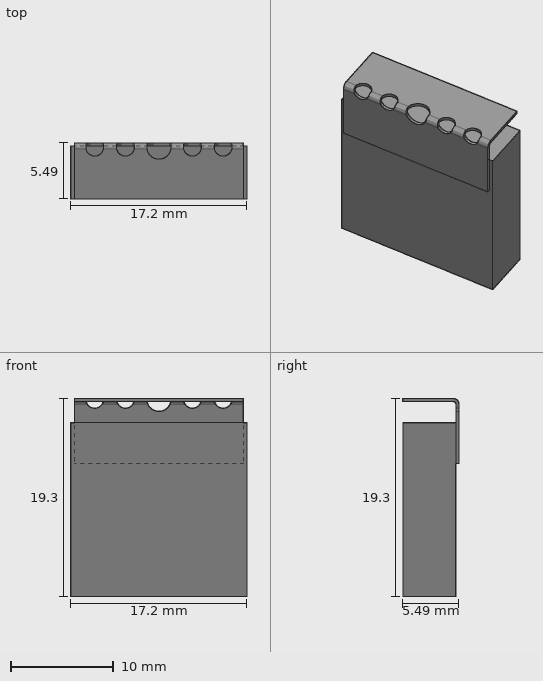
import cadquery as cq
import math

body_width = 17.2
body_depth = 5.17
body_height = 16.95

overall_height = 19.3
bracket_width = 16.45
sheet = 0.3
flange_overhang = 0.02
wall_height = 6.35
bend_inner_radius = 0.29
bend_outer_radius = bend_inner_radius + sheet
bend_middle_radius = bend_inner_radius + sheet / 2
bend_arc_length = bend_middle_radius * math.pi / 2

hole_center_from_flange = 0.17
small_hole_radius = 0.87
large_hole_radius = 1.18
inner_hole_x = 3.26
outer_hole_x = 6.25
holes = [(0, large_hole_radius)]
for hole_x in (inner_hole_x, outer_hole_x):
    holes += [(-hole_x, small_hole_radius), (hole_x, small_hole_radius)]

bend_sections = 7
cut_margin = 0.05

wall_back_y = body_depth + sheet
bend_axis_y = wall_back_y - bend_outer_radius
bend_axis_z = overall_height - bend_outer_radius


def make_body():
    return cq.Workplane("XY").box(body_width, body_depth, body_height, centered=(True, False, False))


def make_bracket():
    """L-shaped sheet with concentric inner and outer bends, extruded along X."""
    wall_bottom_z = overall_height - wall_height
    diagonal = math.sqrt(0.5)
    outer_mid = (bend_axis_y + bend_outer_radius * diagonal, bend_axis_z + bend_outer_radius * diagonal)
    inner_mid = (bend_axis_y + bend_inner_radius * diagonal, bend_axis_z + bend_inner_radius * diagonal)
    return (
        cq.Workplane("YZ")
        .moveTo(-flange_overhang, overall_height)
        .lineTo(bend_axis_y, overall_height)
        .threePointArc(outer_mid, (wall_back_y, bend_axis_z))
        .lineTo(wall_back_y, wall_bottom_z)
        .lineTo(body_depth, wall_bottom_z)
        .lineTo(body_depth, bend_axis_z)
        .threePointArc(inner_mid, (bend_axis_y, overall_height - sheet))
        .lineTo(-flange_overhang, overall_height - sheet)
        .close()
        .extrude(bracket_width / 2, both=True)
    )


def flange_cutter(x, radius):
    """Part of the hole that lies in the flat flange."""
    height = sheet + 2 * cut_margin
    bottom_z = overall_height - sheet - cut_margin
    disc = (
        cq.Workplane("XY", origin=(x, bend_axis_y + hole_center_from_flange, bottom_z))
        .circle(radius)
        .extrude(height)
    )
    flat_side = cq.Workplane("XY").box(2 * radius, 2 * radius, height, centered=(True, False, False))
    return disc.intersect(flat_side.translate((x, bend_axis_y - 2 * radius, bottom_z)))


def wall_cutter(x, radius):
    """Part of the hole that lies in the flat back wall."""
    length = sheet + 2 * cut_margin
    front_y = body_depth - cut_margin
    center_z = bend_axis_z + bend_arc_length - hole_center_from_flange
    disc = (
        cq.Workplane("XZ", origin=(x, front_y, center_z))
        .circle(radius)
        .extrude(-length)
    )
    flat_side = cq.Workplane("XY").box(2 * radius, length, 2 * radius, centered=(True, False, False))
    return disc.intersect(flat_side.translate((x, front_y, bend_axis_z - 2 * radius)))


def bend_cutter(x, radius):
    """Part of the hole wrapped around the bend, lofted through radial cross-sections."""
    sections = []
    for step in range(bend_sections):
        angle = math.pi / 2 * step / (bend_sections - 1)
        offset = bend_middle_radius * angle - hole_center_from_flange
        half_width = math.sqrt(radius**2 - offset**2)
        corners = []
        for side, reach in ((-1, -1), (1, -1), (1, 1), (-1, 1)):
            distance = bend_middle_radius + reach * (sheet / 2 + cut_margin)
            corners.append(cq.Vector(
                x + side * half_width,
                bend_axis_y + distance * math.sin(angle),
                bend_axis_z + distance * math.cos(angle),
            ))
        sections.append(cq.Wire.makePolygon(corners, close=True))
    return cq.Workplane(cq.Solid.makeLoft(sections))


bracket = make_bracket()
for hole_x, hole_radius in holes:
    for make_cutter in (flange_cutter, bend_cutter, wall_cutter):
        bracket = bracket.cut(make_cutter(hole_x, hole_radius))

result = make_body().union(bracket)